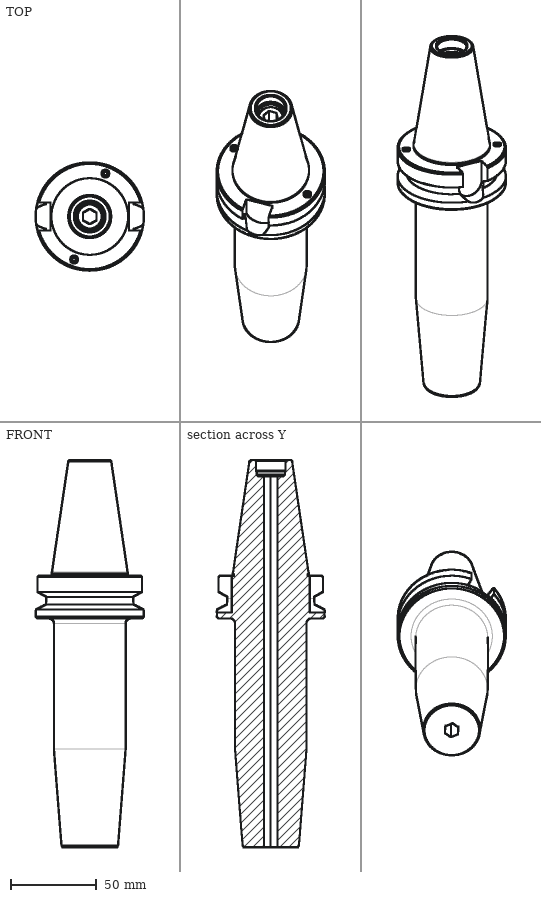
import cadquery as cq
import math

total_length = 225.5
taper_length = 65.4
bottom_z = taper_length - total_length

gauge_radius = 22.0
taper_ratio = 7 / 24
taper_top_radius = gauge_radius - taper_length * taper_ratio / 2
shank_chamfer = 1.0
land_radius = 22.3
land_top_z = -0.7
land_bottom_z = -1.4
relief_radius = 21.6

flange_radius = 31.5
flange_top_z = -2.0
flange_bottom_z = -27.0
flange_top_chamfer = 1.0
flange_bottom_chamfer = 1.1
groove_radius = 26.5
groove_top_z = -11.5
groove_bottom_z = -21.6
groove_flank_angle = 30.0
groove_flank_height = (flange_radius - groove_radius) * math.tan(math.radians(groove_flank_angle))

body_radius = 21.0
body_fillet = 2.7
nose_radius = 16.5
nose_length = 57.3
nose_chamfer_width = 0.7
nose_chamfer_height = 1.1
nose_slope = (body_radius - nose_radius) / nose_length

slot_width = 16.0
slot_floor_distance = 22.8
slot_bottom_z = -23.2

bore_radius = 8.5
bore_depth = 6.3
mouth_chamfer = 0.7
step_radius = 8.1
step_depth = 8.5
seat_radius = 7.0
floor_depth = step_depth + step_radius - seat_radius
hex_across_flats = 7.7

screw_hole_radius = 1.5
screw_hole_chamfer = 0.7
screw_hole_depth = 1.0
socket_across_flats = 2.0
socket_depth = 3.0
screw_circle_radius = 26.5
screw_angle = 70.0


def turned_body():
    """Revolve the outer profile of the holder around Z."""
    nose_chamfer_radius = nose_radius + nose_chamfer_height * nose_slope
    fillet_center_r = body_radius + body_fillet
    fillet_center_z = flange_bottom_z - body_fillet
    fillet_offset = body_fillet * math.sqrt(0.5)
    profile = (
        cq.Workplane("XZ")
        .moveTo(0, bottom_z)
        .lineTo(nose_chamfer_radius - nose_chamfer_width, bottom_z)
        .lineTo(nose_chamfer_radius, bottom_z + nose_chamfer_height)
        .lineTo(body_radius, bottom_z + nose_length)
        .lineTo(body_radius, fillet_center_z)
        .threePointArc(
            (fillet_center_r - fillet_offset, fillet_center_z + fillet_offset),
            (fillet_center_r, flange_bottom_z),
        )
        .lineTo(flange_radius - flange_bottom_chamfer, flange_bottom_z)
        .lineTo(flange_radius, flange_bottom_z + flange_bottom_chamfer)
        .lineTo(flange_radius, groove_bottom_z)
        .lineTo(groove_radius, groove_bottom_z + groove_flank_height)
        .lineTo(groove_radius, groove_top_z - groove_flank_height)
        .lineTo(flange_radius, groove_top_z)
        .lineTo(flange_radius, flange_top_z - flange_top_chamfer)
        .lineTo(flange_radius - flange_top_chamfer, flange_top_z)
        .lineTo(relief_radius, flange_top_z)
        .lineTo(relief_radius, land_bottom_z)
        .lineTo(land_radius, land_bottom_z)
        .lineTo(land_radius, land_top_z)
        .lineTo(gauge_radius, 0)
        .lineTo(taper_top_radius, taper_length - shank_chamfer)
        .lineTo(taper_top_radius - shank_chamfer, taper_length)
        .lineTo(0, taper_length)
        .close()
    )
    return profile.revolve(360, (0, 0, 0), (0, 1, 0))


def drive_slots():
    """Round-bottomed slots on the -X and +X sides, open at the flange top."""
    half_width = slot_width / 2
    round_center_z = slot_bottom_z + half_width
    cutters = cq.Workplane("XY")
    for start_x in (slot_floor_distance, -flange_radius):
        cutter = (
            cq.Workplane("YZ", origin=(start_x, 0, 0))
            .moveTo(-half_width, 0)
            .lineTo(-half_width, round_center_z)
            .threePointArc((0, slot_bottom_z), (half_width, round_center_z))
            .lineTo(half_width, 0)
            .close()
            .extrude(flange_radius - slot_floor_distance)
        )
        cutters = cutters.add(cutter)
    return cutters.combine()


def central_bore():
    """Stepped bore with a conical seat at the shank end and a hexagonal passage through the part."""
    bore = (
        cq.Workplane("XZ")
        .moveTo(0, taper_length)
        .lineTo(bore_radius + mouth_chamfer, taper_length)
        .lineTo(bore_radius, taper_length - mouth_chamfer)
        .lineTo(bore_radius, taper_length - bore_depth)
        .lineTo(step_radius, taper_length - bore_depth - (bore_radius - step_radius))
        .lineTo(step_radius, taper_length - step_depth)
        .lineTo(seat_radius, taper_length - floor_depth)
        .lineTo(0, taper_length - floor_depth)
        .close()
        .revolve(360, (0, 0, 0), (0, 1, 0))
    )
    passage = (
        cq.Workplane("XY", origin=(0, 0, bottom_z))
        .polygon(6, hex_across_flats, circumscribed=True)
        .extrude(total_length)
    )
    return bore.union(passage)


def screw_holes():
    """Two opposite blind holes in the flange top, countersunk around a hexagonal socket."""
    mouth_radius = screw_hole_radius + screw_hole_chamfer
    hole = (
        cq.Workplane("XZ")
        .moveTo(0, 0)
        .lineTo(mouth_radius, 0)
        .lineTo(screw_hole_radius, -screw_hole_chamfer)
        .lineTo(screw_hole_radius, -screw_hole_depth)
        .lineTo(0, -screw_hole_depth)
        .close()
        .revolve(360, (0, 0, 0), (0, 1, 0))
    )
    socket = cq.Workplane("XY").polygon(6, socket_across_flats, circumscribed=True).extrude(-socket_depth)
    cutter = hole.union(socket).translate((screw_circle_radius, 0, flange_top_z))
    cutters = cq.Workplane("XY")
    for angle in (screw_angle, screw_angle + 180):
        cutters = cutters.add(cutter.rotate((0, 0, 0), (0, 0, 1), angle))
    return cutters.combine()


result = turned_body().cut(drive_slots()).cut(central_bore()).cut(screw_holes())